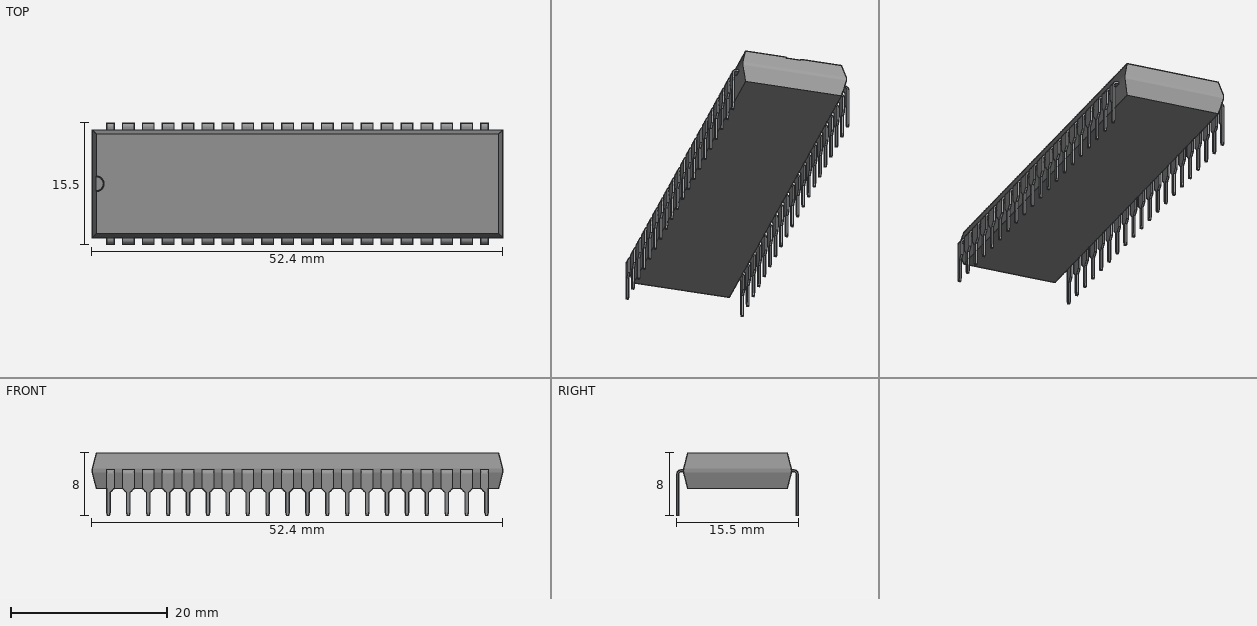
import cadquery as cq

body_length = 52.4
body_width = 13.8
body_height = 4.55
band_height = 0.45
taper_inset = 0.5
body_top = body_height / 2
band_top = band_height / 2

notch_top_radius = 1.0
notch_floor_radius = 0.9
notch_depth = 0.15
notch_x = -body_length / 2 + taper_inset

leads_per_row = 20
row_length = 48.25
width_over_leads = 15.5
total_height = 8.0
lead_pitch = row_length / (leads_per_row - 1)

lead_thickness = 0.25
bend_radius_outer = 0.6
bend_radius_inner = bend_radius_outer - lead_thickness
shoulder_width = 1.5
pin_width = 0.45
shoulder_bottom = -2.25
shoulder_slope_height = (shoulder_width - pin_width) / 2
root_depth = 0.5
tip_z = body_top - total_height
tip_height = 0.4
tip_width = 0.25


def tapered_half(direction):
    """Body half from the band's edge to the flat face; direction is +1 up or -1 down."""
    return (
        cq.Workplane("XY", origin=(0, 0, direction * band_top))
        .rect(body_length, body_width)
        .workplane(offset=direction * (body_top - band_top))
        .rect(body_length - 2 * taper_inset, body_width - 2 * taper_inset)
        .loft(ruled=True)
    )


def make_body():
    band = cq.Workplane("XY").box(body_length, body_width, band_height)
    notch = (
        cq.Workplane("XY", origin=(notch_x, 0, body_top - notch_depth))
        .circle(notch_floor_radius)
        .workplane(offset=notch_depth)
        .circle(notch_top_radius)
        .loft(ruled=True)
    )
    return band.union(tapered_half(1)).union(tapered_half(-1)).cut(notch)


def lead_strip():
    """Bent strip of shoulder width on the -Y side."""
    outer_y = -width_over_leads / 2
    inner_y = outer_y + lead_thickness
    root_y = -body_width / 2 + root_depth
    top_z = lead_thickness / 2
    bend_z = top_z - bend_radius_outer
    return (
        cq.Workplane("YZ")
        .moveTo(root_y, top_z)
        .lineTo(outer_y + bend_radius_outer, top_z)
        .radiusArc((outer_y, bend_z), -bend_radius_outer)
        .lineTo(outer_y, tip_z)
        .lineTo(inner_y, tip_z)
        .lineTo(inner_y, bend_z)
        .radiusArc((outer_y + bend_radius_outer, top_z - lead_thickness), bend_radius_inner)
        .lineTo(root_y, top_z - lead_thickness)
        .close()
        .extrude(shoulder_width / 2, both=True)
    )


def lead_outline(left_shoulder, right_shoulder):
    """Lead seen along Y; a side without a shoulder runs straight down at pin width."""
    half_pin = pin_width / 2
    half_tip = tip_width / 2
    top_z = lead_thickness / 2
    points = []
    for side, has_shoulder in ((-1, left_shoulder), (1, right_shoulder)):
        edge = [(side * half_tip, tip_z), (side * half_pin, tip_z + tip_height)]
        if has_shoulder:
            edge += [
                (side * half_pin, shoulder_bottom - shoulder_slope_height),
                (side * shoulder_width / 2, shoulder_bottom),
                (side * shoulder_width / 2, top_z),
            ]
        else:
            edge.append((side * half_pin, top_z))
        points += edge if side < 0 else edge[::-1]
    return cq.Workplane("XZ").polyline(points).close().extrude(width_over_leads)


def make_lead_row():
    """Row of leads on the -Y side; the end leads have only their inward shoulder."""
    strip = lead_strip()
    row = cq.Workplane("XY")
    for index in range(leads_per_row):
        outline = lead_outline(index > 0, index < leads_per_row - 1)
        x = -row_length / 2 + index * lead_pitch
        row.add(strip.intersect(outline).translate((x, 0, 0)))
    return row.combine()


front_row = make_lead_row()
result = make_body().union(front_row).union(front_row.mirror("XZ"))